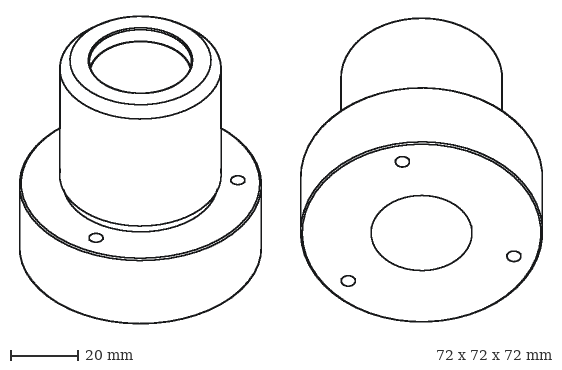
import cadquery as cq

height = 72.0
flange_diameter = 72.0

flange_height = 25.05
flange_chamfer = 0.5

spigot_diameter = 48.0
spigot_chamfer = 3.0
undercut_diameter = 46.0
undercut_width = 3.0

bore_diameter = 30.0
recess_diameter = 30.4
recess_depth = 4.9
mouth_diameter = 31.0
mouth_depth = 0.5

hole_diameter = 4.2
hole_circle_radius = 29.0
hole_count = 3
first_hole_angle = -90.0


def cylinder(diameter, bottom, top):
    """Vertical cylinder on the part axis between two heights."""
    return cq.Workplane("XY").workplane(offset=bottom).circle(diameter / 2).extrude(top - bottom)


def make_flange():
    flange = cylinder(flange_diameter, 0, flange_height)
    return flange.faces("<Z or >Z").edges().chamfer(flange_chamfer)


def make_spigot():
    undercut_top = flange_height + undercut_width
    neck = cylinder(undercut_diameter, 0, undercut_top)
    barrel = cylinder(spigot_diameter, undercut_top, height)
    return neck.union(barrel.faces(">Z").edges().chamfer(spigot_chamfer))


def make_bore():
    recess = cylinder(recess_diameter, height - recess_depth, height)
    mouth = cq.Workplane("XY").add(
        cq.Solid.makeCone(
            recess_diameter / 2,
            mouth_diameter / 2,
            mouth_depth,
            pnt=cq.Vector(0, 0, height - mouth_depth),
        )
    )
    return cylinder(bore_diameter, 0, height).union(recess).union(mouth)


def make_mounting_holes():
    return (
        cq.Workplane("XY")
        .polarArray(hole_circle_radius, first_hole_angle, 360, hole_count)
        .circle(hole_diameter / 2)
        .extrude(flange_height)
    )


result = make_flange().union(make_spigot()).cut(make_bore()).cut(make_mounting_holes())